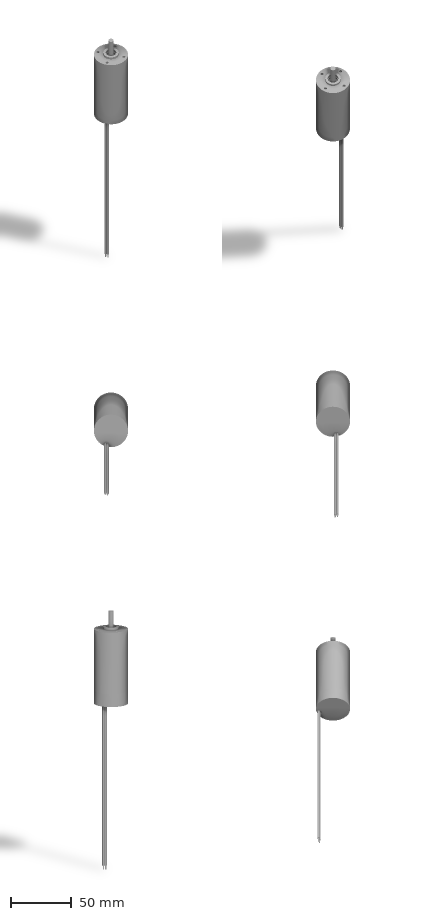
import cadquery as cq

motor_diameter = 28.0
motor_length = 63.0
front_plate_thickness = 2.0
rear_cap_length = 10.4
rear_cover_thickness = 0.7
wire_hole_diameter = 4.9

collar_diameter = 12.8
collar_height = 2.0
collar_bore_diameter = 8.8
collar_bore_depth = 2.2
shaft_clearance_diameter = 7.3
screw_circle_diameter = 22.0
screw_hole_diameter = 2.5
screw_hole_count = 4

shaft_diameter = 4.2
shaft_projection = 13.0

total_length = 220.8
wire_diameter = 2.0
conductor_diameter = 1.0
stripped_length = 3.3
wire_offset = 12.1
wire_count = 2

cap_rear = rear_cover_thickness
cap_front = cap_rear + rear_cap_length
motor_front = motor_length
can_front = motor_front - front_plate_thickness
collar_front = motor_front + collar_height
shaft_front = collar_front + shaft_projection
wire_end = shaft_front - total_length
insulation_end = wire_end + stripped_length


def cylinder(diameter, z_start, z_end, x=0, y=0):
    """Upright cylinder between two levels."""
    base = cq.Workplane("XY", origin=(x, y, z_start))
    return base.circle(diameter / 2).extrude(z_end - z_start)


def make_front_plate():
    """Disc with a collar, a stepped shaft opening and a ring of screw holes."""
    plate = cylinder(motor_diameter, can_front, motor_front)
    plate = plate.union(cylinder(collar_diameter, motor_front, collar_front))
    plate = plate.cut(cylinder(shaft_clearance_diameter, can_front, collar_front))
    bore_floor = collar_front - collar_bore_depth
    plate = plate.cut(cylinder(collar_bore_diameter, bore_floor, collar_front))
    screw_holes = (
        cq.Workplane("XY", origin=(0, 0, can_front))
        .polarArray(screw_circle_diameter / 2, 0, 360, screw_hole_count)
        .circle(screw_hole_diameter / 2)
        .extrude(front_plate_thickness)
    )
    return plate.cut(screw_holes)


def make_shaft():
    """Plain shaft standing on the front face of the can."""
    return cylinder(shaft_diameter, can_front, shaft_front)


def make_can():
    return cylinder(motor_diameter, cap_front, can_front)


def make_rear_cap():
    return cylinder(motor_diameter, cap_rear, cap_front)


def make_rear_cover():
    """Thin disc with a wire hole that breaks out through its -Y rim."""
    cover = cylinder(motor_diameter, 0, cap_rear)
    return cover.cut(cylinder(wire_hole_diameter, 0, cap_rear, 0, -wire_offset))


def make_wire(x):
    """Insulated wire from the rear cap with a thinner bare conductor at its free end."""
    insulation = cylinder(wire_diameter, insulation_end, cap_rear, x, -wire_offset)
    conductor = cylinder(conductor_diameter, wire_end, insulation_end, x, -wire_offset)
    return insulation.union(conductor)


front_plate = make_front_plate()
shaft = make_shaft()
can = make_can()
rear_cap = make_rear_cap()
rear_cover = make_rear_cover()
first_wire_x = -(wire_count - 1) * wire_diameter / 2
wires = [make_wire(first_wire_x + index * wire_diameter) for index in range(wire_count)]

result = cq.Compound.makeCompound(
    [
        front_plate.val(),
        shaft.val(),
        can.val(),
        rear_cap.val(),
        rear_cover.val(),
        *[wire.val() for wire in wires],
    ]
)